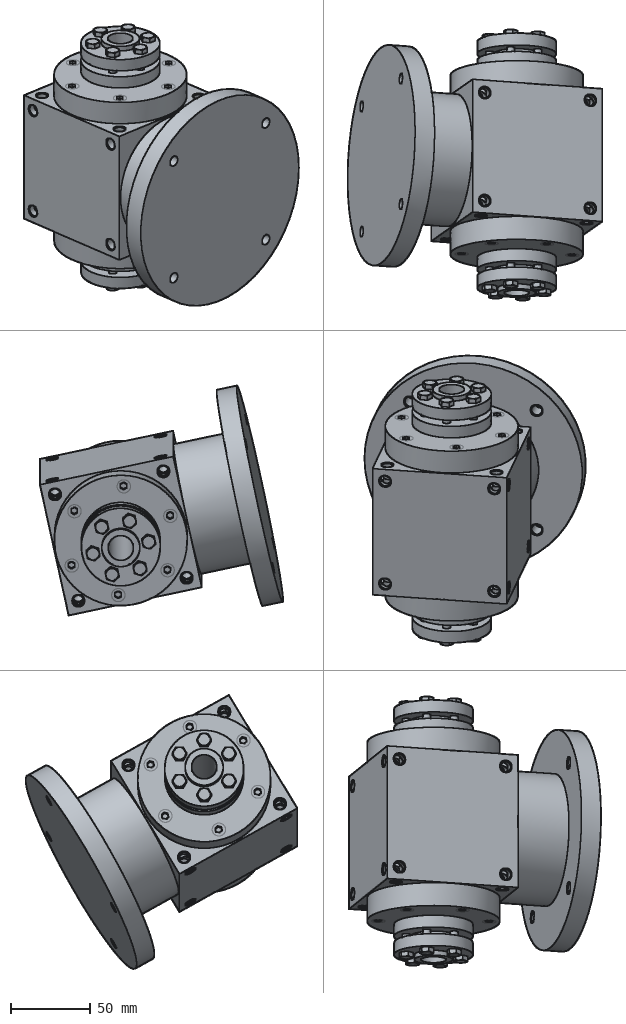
import cadquery as cq
import math

block_side = 86.2
block_hole_offset = 35.0
tapped_diameter = 6.8
tapped_mouth_diameter = 8.0
tapped_mouth_chamfer = (tapped_mouth_diameter - tapped_diameter) / 2
tapped_depth = 15.0
drill_tip_angle = 118.0

cover_diameter = 84.0
cover_face_height = 58.0
cover_screw_count = 6
cover_screw_circle = 70.0
cover_screw_first_angle = 15.0
cover_screw_head_diameter = 8.5
cover_screw_head_height = 5.0
socket_across_flats = 4.0
socket_depth = 2.5

neck_diameter = 84.0
flange_diameter = 140.0
flange_thickness = 13.0
overall_length = 133.0
flange_face_x = overall_length - block_side / 2
flange_hole_count = 4
flange_hole_circle = 115.0
flange_hole_first_angle = 45.0
flange_hole_diameter = 6.6
flange_hole_mouth_diameter = 8.0
flange_hole_mouth_angle = 90.0

shaft_length = 166.0
shaft_diameter = 25.0
shaft_end_diameter = 24.0
shaft_bore_diameter = 16.0

disc_diameter = 50.0
disc_thickness = 7.8
disc_gap = 4.2
disc_hub_diameter = 29.0
disc_start_height = 60.1
clamp_bolt_count = 6
clamp_bolt_circle = 36.0
clamp_bolt_diameter = 5.0
clamp_head_across_flats = 8.0
clamp_head_bevel_angle = 30.0
clamp_head_turn = 30.0


def cylinder_z(diameter, bottom, top):
    """Upright cylinder on the Z axis between two heights."""
    return cq.Workplane("XY").workplane(offset=bottom).circle(diameter / 2).extrude(top - bottom)


def cylinder_x(diameter, start, end):
    """Cylinder on the X axis between two X positions."""
    return cq.Workplane("YZ").workplane(offset=start).circle(diameter / 2).extrude(end - start)


def hexagon_diameter(across_flats):
    """Across-corners size of a hexagon with the given width across flats."""
    return across_flats / math.cos(math.pi / 6)


def tapped_hole_cutter():
    """Drilled hole entering at the origin along -Z, with a bevelled mouth and a conical bottom."""
    radius = tapped_diameter / 2
    tip_length = radius / math.tan(math.radians(drill_tip_angle / 2))
    profile = [
        (0, 0),
        (tapped_mouth_diameter / 2, 0),
        (radius, -tapped_mouth_chamfer),
        (radius, -tapped_depth),
        (0, -tapped_depth - tip_length),
    ]
    return cq.Workplane("XZ").polyline(profile).close().revolve(360, (0, 0, 0), (0, 1, 0))


def drill_block(block):
    """Four tapped holes in every face of the block except the flange side."""
    hole_cutters = cq.Workplane("XY")
    for x in (-block_hole_offset, block_hole_offset):
        for y in (-block_hole_offset, block_hole_offset):
            hole_cutters = hole_cutters.add(tapped_hole_cutter().translate((x, y, block_side / 2)))
    top_cutters = hole_cutters.combine()
    for angle in (0, 90, 180, 270):
        block = block.cut(top_cutters.rotate((0, 0, 0), (1, 0, 0), angle))
    return block.cut(top_cutters.rotate((0, 0, 0), (0, 1, 0), -90))


def cover_screw_layout():
    """Screw centres on the face of the upper cover."""
    return (
        cq.Workplane("XY")
        .workplane(offset=cover_face_height)
        .polarArray(cover_screw_circle / 2, cover_screw_first_angle, 360, cover_screw_count)
    )


def make_cover():
    """Upper bearing cover with socket screws sunk flush into its face."""
    cover = cylinder_z(cover_diameter, block_side / 2, cover_face_height)
    heads = cover_screw_layout().circle(cover_screw_head_diameter / 2).extrude(-cover_screw_head_height)
    sockets = (
        cover_screw_layout()
        .polygon(6, hexagon_diameter(socket_across_flats))
        .extrude(-socket_depth)
    )
    return cover.cut(heads).union(heads.cut(sockets), clean=False)


def make_flange():
    """Cylindrical neck and bolting flange on the X axis."""
    flange_back_x = flange_face_x - flange_thickness
    neck = cylinder_x(neck_diameter, block_side / 2, flange_back_x)
    plate = cylinder_x(flange_diameter, flange_back_x, flange_face_x)
    plate = (
        plate.faces("<X")
        .workplane(origin=(0, 0, 0))
        .polarArray(flange_hole_circle / 2, flange_hole_first_angle, 360, flange_hole_count)
        .cskHole(flange_hole_diameter, flange_hole_mouth_diameter, flange_hole_mouth_angle)
    )
    return neck.union(plate)


def make_housing():
    """Block with both bearing covers and the motor flange, bored through for the shaft."""
    block = drill_block(cq.Workplane("XY").box(block_side, block_side, block_side))
    upper_cover = make_cover()
    lower_cover = upper_cover.rotate((0, 0, 0), (1, 0, 0), 180)
    housing = block.union(make_flange())
    for cover in (upper_cover, lower_cover):
        housing = housing.union(cover, clean=False)
    return housing.cut(cylinder_z(shaft_diameter, -cover_face_height, cover_face_height), clean=False)


def make_shaft():
    """Hollow shaft stepped down at both ends to carry the shrink discs."""
    end_height = shaft_length / 2
    shaft = cylinder_z(shaft_end_diameter, -end_height, end_height)
    shaft = shaft.union(cylinder_z(shaft_diameter, -disc_start_height, disc_start_height))
    return shaft.cut(cylinder_z(shaft_bore_diameter, -end_height, end_height))


def make_clamp_head(bottom, top):
    """Hexagon bolt head on the Z axis with its top corners turned off to a cone."""
    corner_diameter = hexagon_diameter(clamp_head_across_flats)
    bevel_width = (corner_diameter - clamp_head_across_flats) / 2
    bevel_height = bevel_width * math.tan(math.radians(clamp_head_bevel_angle))
    hexagon = (
        cq.Workplane("XY")
        .workplane(offset=bottom)
        .transformed(rotate=(0, 0, clamp_head_turn))
        .polygon(6, corner_diameter)
        .extrude(top - bottom)
    )
    turned_blank = cylinder_z(corner_diameter, bottom, top).faces(">Z").chamfer(bevel_height, bevel_width)
    return hexagon.intersect(turned_blank)


def make_shrink_disc():
    """Two clamping rings on a common hub, drawn together by hexagon-head bolts."""
    upper_ring_start = disc_start_height + disc_thickness + disc_gap
    upper_ring_end = upper_ring_start + disc_thickness
    disc = cylinder_z(disc_hub_diameter, disc_start_height, upper_ring_end)
    for ring_start in (disc_start_height, upper_ring_start):
        disc = disc.union(cylinder_z(disc_diameter, ring_start, ring_start + disc_thickness))

    bolt_layout = (
        cq.Workplane("XY")
        .workplane(offset=disc_start_height)
        .polarArray(clamp_bolt_circle / 2, 0, 360, clamp_bolt_count)
    )
    shanks = bolt_layout.circle(clamp_bolt_diameter / 2).extrude(upper_ring_end - disc_start_height)
    disc = disc.union(shanks)
    head = make_clamp_head(upper_ring_end, shaft_length / 2)
    radius = clamp_bolt_circle / 2
    for index in range(clamp_bolt_count):
        angle = 2 * math.pi * index / clamp_bolt_count
        disc = disc.union(head.translate((radius * math.cos(angle), radius * math.sin(angle), 0)))
    return disc.cut(cylinder_z(shaft_end_diameter, disc_start_height, shaft_length / 2))


housing = make_housing()
shaft = make_shaft()
upper_shrink_disc = make_shrink_disc()
shrink_discs = [upper_shrink_disc.rotate((0, 0, 0), (1, 0, 0), angle) for angle in (0, 180)]

result = cq.Compound.makeCompound(
    [housing.val(), shaft.val(), *[disc.val() for disc in shrink_discs]]
)